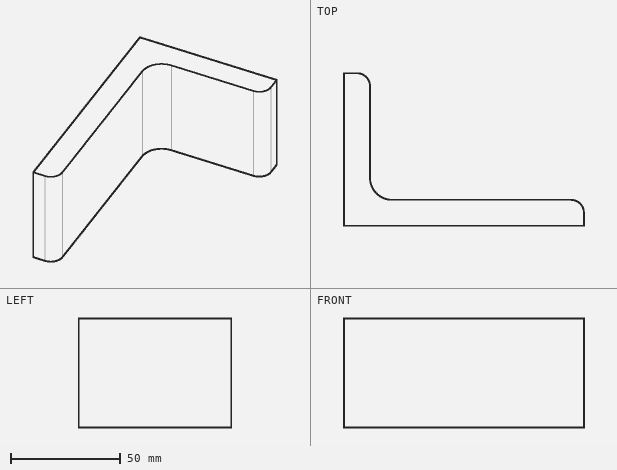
import cadquery as cq

long_leg = 110.0
short_leg = 70.0
thickness = 12.0
length = 50.0
root_radius = 10.0
toe_radius = 6.0


def angle_profile():
    """L-shaped outline with its heel at the origin, sharp at every corner."""
    return (
        cq.Workplane("XY")
        .moveTo(0, 0)
        .lineTo(long_leg, 0)
        .lineTo(long_leg, thickness)
        .lineTo(thickness, thickness)
        .lineTo(thickness, short_leg)
        .lineTo(0, short_leg)
        .close()
    )


def round_edge_at(body, x, y, radius):
    """Fillet the lengthwise edge that passes through (x, y)."""
    edge = cq.selectors.NearestToPointSelector((x, y, length / 2))
    return body.edges("|Z").edges(edge).fillet(radius)


body = angle_profile().extrude(length)
body = round_edge_at(body, thickness, thickness, root_radius)
body = round_edge_at(body, long_leg, thickness, toe_radius)
result = round_edge_at(body, thickness, short_leg, toe_radius)